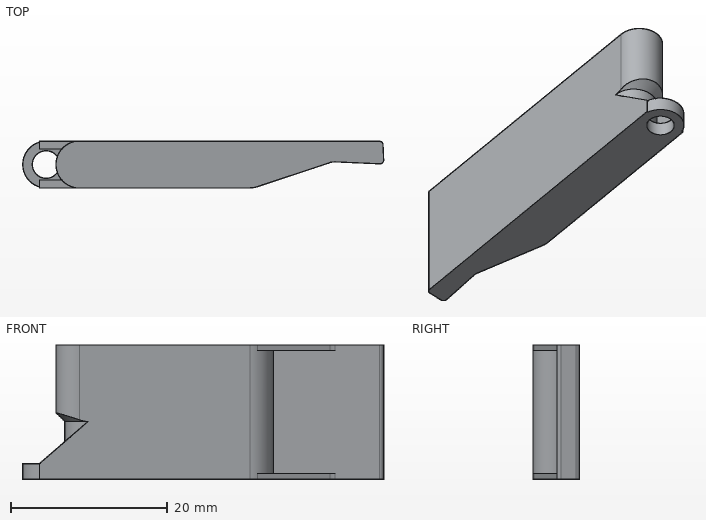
import cadquery as cq
import math

height = 17.2
radius = 3.0
body_length = 21.84

lug_x = -4.25
lug_thickness = 2.0
hole_diameter = 3.5
wall_start_x = -5.12
wall_thickness = 1.0

relief_top = 7.4
column_x = 1.12
cone_height = 1.3

tip_x = 38.96
tongue_tilt = 2.5
tongue_face_x = 38.35
tongue_face_y = 0.08
tip_fillet = 0.5

web_thickness = 0.75
ramp_angle = 18.4
web_fillet = 1.85

tilt = math.radians(tongue_tilt)
ramp = math.radians(ramp_angle)


def tongue_face(x):
    """Y of the tongue's tilted lower face at a given x."""
    return tongue_face_y + (tongue_face_x - x) * math.tan(tilt)


def make_body():
    """Full-height capsule with a round at each end."""
    middle = cq.Workplane("XY").box(body_length, 2 * radius, height, centered=(False, True, False))
    ends = cq.Workplane("XY").pushPoints([(0, 0), (body_length, 0)]).circle(radius).extrude(height)
    return middle.union(ends)


def make_tongue():
    """Plate whose tip is square to its tilted lower face, with rounded tip corners."""
    tip_y = tongue_face(tip_x)
    back_x = tip_x - (radius - tip_y) * math.tan(tilt)
    tongue = (
        cq.Workplane("XY")
        .moveTo(body_length, radius)
        .lineTo(body_length, tongue_face(body_length))
        .lineTo(tip_x, tip_y)
        .lineTo(back_x, radius)
        .close()
        .extrude(height)
    )
    return tongue.edges("|Z").edges("not <X").fillet(tip_fillet)


def make_web(bottom):
    """Thin web whose ramp leaves the right round end tangentially and blends into the tongue."""
    start_x = body_length + radius * math.sin(ramp)
    start_y = -radius * math.cos(ramp)
    meet_x = start_x + (tongue_face(start_x) - start_y) / (math.tan(ramp) + math.tan(tilt))
    blend = web_fillet * math.tan((ramp + tilt) / 2)
    ramp_end = (meet_x - blend * math.cos(ramp), tongue_face(meet_x) - blend * math.sin(ramp))
    face_x = meet_x + blend * math.cos(tilt)
    arc_centre = (ramp_end[0] + web_fillet * math.sin(ramp), ramp_end[1] - web_fillet * math.cos(ramp))
    mid_angle = (ramp - tilt) / 2
    arc_middle = (
        arc_centre[0] - web_fillet * math.sin(mid_angle),
        arc_centre[1] + web_fillet * math.cos(mid_angle),
    )
    return (
        cq.Workplane("XY", origin=(0, 0, bottom))
        .moveTo(body_length, 0)
        .lineTo(start_x, start_y)
        .lineTo(*ramp_end)
        .threePointArc(arc_middle, (face_x, tongue_face(face_x)))
        .lineTo(face_x, radius)
        .lineTo(body_length, radius)
        .close()
        .extrude(web_thickness)
    )


def make_relief():
    """Space cleared above the lug, leaving a column that flares into the body as a cone."""
    top = relief_top + cone_height
    space = cq.Workplane("XY", origin=(-radius, 0, 0)).box(
        radius + column_x, 2 * radius, top, centered=(False, True, False)
    )
    column = (
        cq.Workplane("XZ")
        .polyline([(0, 0), (radius, 0), (radius, relief_top), (radius + cone_height, top), (0, top)])
        .close()
        .revolve(360, (0, 0), (0, 1))
        .translate((column_x, 0, 0))
    )
    return space.cut(column)


def make_lug():
    """Round, drilled lug joined to the body by a flat bridge."""
    base = cq.Workplane("XY").center(lug_x, 0).circle(radius).extrude(lug_thickness)
    bridge = cq.Workplane("XY", origin=(lug_x, 0, 0)).box(
        column_x - lug_x, 2 * radius, lug_thickness, centered=(False, True, False)
    )
    hole = cq.Workplane("XY").center(lug_x, 0).circle(hole_diameter / 2).extrude(lug_thickness)
    return base.union(bridge).cut(hole)


def make_wall(outer_y):
    """Side wall with its outer face at outer_y, sloping from the lug up to the relief."""
    return (
        cq.Workplane("XZ", origin=(0, outer_y, 0))
        .moveTo(wall_start_x, 0)
        .lineTo(wall_start_x, lug_thickness)
        .lineTo(column_x, relief_top)
        .lineTo(column_x, 0)
        .close()
        .extrude(wall_thickness)
    )


result = make_body().cut(make_relief()).union(make_lug())
for wall_outer_y in (radius, -radius + wall_thickness):
    result = result.union(make_wall(wall_outer_y))
result = result.union(make_tongue())
for web_bottom in (0, height - web_thickness):
    result = result.union(make_web(web_bottom))